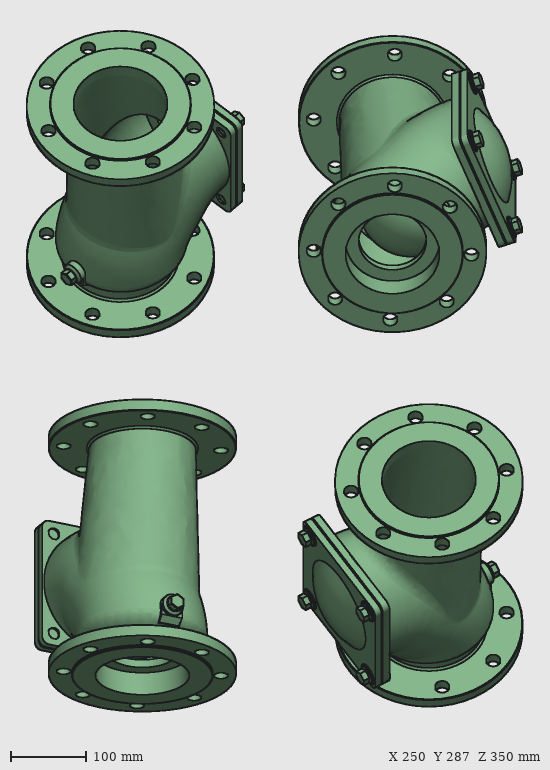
import cadquery as cq
import math

total_height = 350.0
bore_d = 125.0
wall = 8.0

flange_d = 250.0
flange_t = 16.0
raised_face_d = 188.0
raised_face_h = 3.0
raised_face_chamfer = 1.0
flange_edge_chamfer = 1.0
flange_hole_d = 19.0
flange_hole_count = 8
flange_hole_circle_d = 210.0
hub_chamfer = 3.0
flange_total_t = flange_t + raised_face_h
neck_top_z = total_height - flange_total_t

neck_top_d = 142.41
neck_low_r = 85.0
neck_low_z = 112.0
neck_low_y = 19.5
neck_blend_r = 20.0

inlet_neck_d = 150.0
chamber_bottom_z = 38.5
chamber_corner_r = 20.0

chamber_r = 87.5
bend_r = 88.0
first_bend_angle = 41.0
second_bend_angle = 90.0 - first_bend_angle
chamber_axis_y = 1.0

side_flange_y = 118.5
side_axis_z = 167.0
side_flange_size = 180.0
side_flange_t = 10.5
side_flange_corner_r = 10.0
cover_rim_t = 2.0
cover_rim_inset = 0.3
cover_plate_t = 10.0
cover_apex_y = 162.05
cover_dome_r = 66.0

bolt_edge_distance = 17.5
bolt_d = 16.0
bolt_end_recess = 3.2
bolt_pad_d = 30.0
bolt_pad_h = 2.3
bolt_pad_chamfer = 1.0
bolt_collar_d = 24.0
bolt_collar_h = 1.7
hex_across_flats = 18.5
bolt_head_h = 8.8

plug_z = 66.5
plug_boss_d = 30.0
plug_boss_end_y = -92.0
plug_shoulder_d = 22.0
plug_shoulder_h = 3.8
plug_end_y = -105.5
plug_hex_chamfer = 0.8
boss_root_y = -75.0
boss_web_low_z = 43.0
boss_web_y = plug_boss_end_y + 3.5

ball_d = 142.41
seat_d = 90.0
seat_top_z = 43.0
seat_bottom_z = 32.0
ball_center_y = 26.5

half_side = side_flange_size / 2
bend_sin = math.sin(math.radians(first_bend_angle))
bend_cos = math.cos(math.radians(first_bend_angle))
first_pivot_y = chamber_axis_y + bend_r
straight_length = (side_flange_y - first_pivot_y) / bend_sin
first_pivot_z = side_axis_z - bend_r - straight_length * bend_cos
bend_mid_y = first_pivot_y - bend_r * bend_cos
bend_mid_z = first_pivot_z + bend_r * bend_sin
cover_joint_y = side_flange_y + side_flange_t
cover_plate_y = cover_joint_y + cover_rim_t
cover_face_y = cover_plate_y + cover_plate_t
bolt_seat_y = cover_face_y + bolt_pad_h
bolt_offset = half_side - bolt_edge_distance
bolt_places = [(sx * bolt_offset, side_axis_z + sz * bolt_offset) for sx in (-1, 1) for sz in (-1, 1)]
hex_across_corners = hex_across_flats / math.cos(math.pi / 6)
seat_reach = seat_d / 2 - ball_center_y
ball_center_z = seat_top_z + math.sqrt((ball_d / 2) ** 2 - seat_reach ** 2)


def rod_along_y(diameter, x, z, y_start, y_end):
    """Round bar parallel to Y."""
    plane = cq.Plane(origin=(x, y_start, z), xDir=(1, 0, 0), normal=(0, 1, 0))
    return cq.Workplane(plane).circle(diameter / 2).extrude(y_end - y_start)


def cone_along_y(d_start, d_end, x, z, y_start, y_end):
    """Round frustum parallel to Y."""
    solid = cq.Solid.makeCone(d_start / 2, d_end / 2, abs(y_end - y_start), cq.Vector(x, y_start, z),
                              cq.Vector(0, math.copysign(1, y_end - y_start), 0))
    return cq.Workplane(solid)


def hex_along_y(x, z, y_start, y_end):
    """Hexagonal bar parallel to Y with two corners on the vertical through its axis."""
    plane = cq.Plane(origin=(x, y_start, z), xDir=(0, 0, 1), normal=(0, 1, 0))
    return cq.Workplane(plane).polygon(6, hex_across_corners).extrude(y_end - y_start)


def square_plate(y_start, thickness, inset=0.0):
    """Square plate with rounded corners, normal to Y, centred on the side opening."""
    size = side_flange_size - 2 * inset
    return (cq.Workplane("XY").box(size, thickness, size)
            .edges("|Y").fillet(side_flange_corner_r - inset)
            .translate((0, y_start + thickness / 2, side_axis_z)))


def elbow(radius, bottom_z, corner_r):
    """Round-bottomed chamber that bends from the pipe axis towards the side opening."""
    start = cq.Workplane("XY", origin=(0, chamber_axis_y, first_pivot_z))
    first_bend = start.circle(radius).revolve(first_bend_angle, (1, bend_r), (-1, bend_r))
    middle = cq.Plane(origin=(0, bend_mid_y, bend_mid_z), xDir=(1, 0, 0), normal=(0, bend_sin, bend_cos))
    straight = cq.Workplane(middle).circle(radius).extrude(straight_length)
    end = cq.Plane(origin=(0, side_flange_y, side_axis_z), xDir=(1, 0, 0), normal=(0, 1, 0))
    second_bend = cq.Workplane(end).circle(radius).revolve(second_bend_angle, (-1, bend_r), (1, bend_r))
    bottom = (cq.Workplane("XY", origin=(0, chamber_axis_y, bottom_z)).circle(radius)
              .extrude(first_pivot_z - bottom_z))
    chamber = first_bend.union(straight).union(second_bend).union(bottom)
    return chamber.edges("<Z").fillet(corner_r)


def slanted_neck(top_r, low_r, top_z):
    """Cone between a circle on the pipe axis and a larger, offset circle inside the elbow."""
    return (cq.Workplane("XY", origin=(0, neck_low_y, neck_low_z)).circle(low_r)
            .workplane(offset=top_z - neck_low_z, origin=(0, 0, neck_low_z)).circle(top_r)
            .loft(ruled=True))


def pipe_flange(hub_d):
    """Pipe flange with its raised face at Z = 0 and a chamfered hub root above it."""
    raised = (cq.Workplane("XY").circle(raised_face_d / 2).extrude(raised_face_h)
              .faces("<Z").edges().chamfer(raised_face_chamfer))
    disc = (cq.Workplane("XY", origin=(0, 0, raised_face_h)).circle(flange_d / 2).extrude(flange_t)
            .edges(">Z").chamfer(flange_edge_chamfer))
    root = cq.Workplane(cq.Solid.makeCone(hub_d / 2 + hub_chamfer, hub_d / 2, hub_chamfer,
                                          cq.Vector(0, 0, flange_total_t)))
    holes = (cq.Workplane("XY")
             .polarArray(flange_hole_circle_d / 2, 180 / flange_hole_count, 360, flange_hole_count)
             .circle(flange_hole_d / 2).extrude(flange_total_t))
    return raised.union(disc).union(root).cut(holes)


def drain_boss():
    """Boss with a web down to the chamber bottom, ending in a shoulder and a hexagon."""
    boss = rod_along_y(plug_boss_d, 0, plug_z, plug_boss_end_y, boss_root_y)
    web_low_z = plug_z - plug_boss_d / 2
    web_drop = web_low_z - boss_web_low_z
    web = (cq.Workplane("YZ", origin=(-plug_boss_d / 2, 0, 0))
           .polyline([(boss_root_y, plug_z), (boss_web_y, plug_z), (boss_web_y, web_low_z),
                      (boss_web_y + web_drop, web_low_z - web_drop),
                      (boss_root_y, web_low_z - web_drop)])
           .close().extrude(plug_boss_d))
    shoulder_y = plug_boss_end_y - plug_shoulder_h
    shoulder = cone_along_y(plug_boss_d, plug_shoulder_d, 0, plug_z, plug_boss_end_y, shoulder_y)
    hexagon = hex_along_y(0, plug_z, plug_end_y, shoulder_y).faces("<Y").edges().chamfer(plug_hex_chamfer)
    return boss.union(web).union(shoulder).union(hexagon)


def make_housing():
    """Cast housing: both pipe flanges, necks, elbow chamber, side flange and drain plug boss."""
    shell = elbow(chamber_r, chamber_bottom_z, chamber_corner_r)
    shell = shell.union(slanted_neck(neck_top_d / 2, neck_low_r, neck_top_z)).clean()
    shell = shell.edges("%BSPLINE").fillet(neck_blend_r)

    inlet_neck = (cq.Workplane("XY", origin=(0, 0, flange_total_t)).circle(inlet_neck_d / 2)
                  .extrude(first_pivot_z - flange_total_t))
    inlet_flange = pipe_flange(inlet_neck_d)
    outlet_flange = pipe_flange(neck_top_d).mirror("XY").translate((0, 0, total_height))
    side_flange = square_plate(side_flange_y, side_flange_t)
    shell = (shell.union(inlet_neck).union(inlet_flange).union(outlet_flange)
             .union(side_flange).union(drain_boss()))

    chamber = elbow(chamber_r - wall, seat_top_z, chamber_corner_r - wall)
    neck_passage = slanted_neck(bore_d / 2, neck_low_r - wall, neck_top_z)
    inlet_bore = cq.Workplane("XY").circle(bore_d / 2).extrude(seat_bottom_z)
    seat_hole = (cq.Workplane("XY", origin=(0, 0, seat_bottom_z)).circle(seat_d / 2)
                 .extrude(first_pivot_z - seat_bottom_z))
    outlet_bore = (cq.Workplane("XY", origin=(0, 0, neck_top_z)).circle(bore_d / 2)
                   .extrude(flange_total_t))
    side_opening = rod_along_y(2 * (chamber_r - wall), 0, side_axis_z, side_flange_y, cover_joint_y)
    for passage in (chamber, neck_passage, inlet_bore, seat_hole, outlet_bore, side_opening):
        shell = shell.cut(passage)

    for x, z in bolt_places:
        shell = shell.cut(rod_along_y(bolt_d, x, z, side_flange_y, cover_joint_y))
    return shell


def dome(rim_r, rim_y, apex_y):
    """Spherical cap rising from a rim circle to an apex on the side axis."""
    rise = apex_y - rim_y
    sphere_r = (rim_r ** 2 + rise ** 2) / (2 * rise)
    half_angle = math.asin(rim_r / sphere_r) / 2
    middle = (sphere_r * math.sin(half_angle), apex_y - sphere_r * (1 - math.cos(half_angle)))
    return (cq.Workplane("XY").moveTo(0, rim_y).lineTo(rim_r, rim_y)
            .threePointArc(middle, (0, apex_y)).close()
            .revolve(360, (0, 0), (0, 1)).translate((0, 0, side_axis_z)))


def make_cover():
    """Square cover with a slightly inset joint rim, a hollow dome and four bolt pads."""
    rim = square_plate(cover_joint_y, cover_rim_t, cover_rim_inset)
    cover = rim.union(square_plate(cover_plate_y, cover_plate_t))
    cover = cover.union(dome(cover_dome_r, cover_face_y, cover_apex_y))
    for x, z in bolt_places:
        pad = rod_along_y(bolt_pad_d, x, z, cover_face_y, bolt_seat_y)
        cover = cover.union(pad.faces(">Y").edges().chamfer(bolt_pad_chamfer))
    cover = cover.cut(rod_along_y(2 * (cover_dome_r - wall), 0, side_axis_z, cover_joint_y, cover_face_y))
    cover = cover.cut(dome(cover_dome_r - wall, cover_face_y, cover_apex_y - wall))
    for x, z in bolt_places:
        cover = cover.cut(rod_along_y(bolt_d, x, z, cover_joint_y, cover_apex_y))
    return cover


def make_bolt(x, z):
    """Hexagon bolt with a conical collar; its end stays recessed in the side flange."""
    collar_end_y = bolt_seat_y + bolt_collar_h
    shank = rod_along_y(bolt_d, x, z, side_flange_y + bolt_end_recess, bolt_seat_y)
    collar = cone_along_y(bolt_collar_d, hex_across_flats, x, z, bolt_seat_y, collar_end_y)
    head = hex_along_y(x, z, collar_end_y, collar_end_y + bolt_head_h)
    return shank.union(collar).union(head)


def make_ball():
    """Ball that closes the seat."""
    return cq.Workplane("XY").sphere(ball_d / 2).translate((0, ball_center_y, ball_center_z))


housing = make_housing()
cover = make_cover()
ball = make_ball()
bolts = [make_bolt(x, z) for x, z in bolt_places]

result = cq.Compound.makeCompound([
    *housing.solids().vals(),
    *cover.solids().vals(),
    ball.val(),
    *[solid for bolt in bolts for solid in bolt.solids().vals()],
])